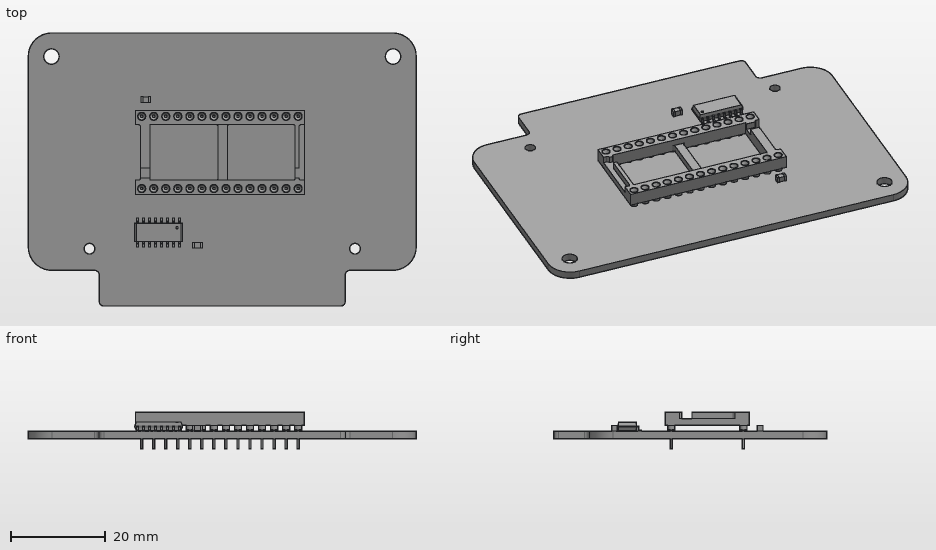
import cadquery as cq


board_length = 81.8
board_width = 57.6
board_thickness = 1.6
board_corner_radius = 5.0
tab_width = 51.9
tab_depth = 7.5
tab_corner_radius = 1.0
main_width = board_width - tab_depth
main_back_y = board_width / 2
main_front_y = main_back_y - main_width
mount_hole_diameter = 3.2
mount_hole_x = 36.0
mount_hole_y = 23.8
tab_hole_diameter = 2.2
tab_hole_x = 28.0
tab_hole_y = -16.7

socket_x = -0.5
socket_y = 3.6
pins_per_row = 14
pin_pitch = 2.5
row_spacing = 15.2
socket_length = 35.6
socket_width = 17.75
socket_bottom = 1.2
socket_top = 4.0
rail_width = 3.0
pocket_width = socket_width - 2 * rail_width
end_recess = 1.1
left_bar = 2.05
right_bar = 2.0
right_bar_upper = 0.8
middle_bar = 2.0
middle_bar_offset = 0.6
step_depth = 1.4
step_z = socket_top - step_depth
notch_width = 2.1
notch_gap = 0.5
frame_fillet = 0.5
window_fillet = 0.3
pin_diameter = 0.51
pin_bottom = -3.8
collar_diameter = 1.55
collar_bottom = 0.25
funnel_diameter = 1.7
rim_depth = 0.1
bore_diameter = 0.51
funnel_depth = 0.8
bore_depth = 2.45

chip_x = -13.4
chip_y = -13.25
chip_length = 10.1
chip_width = 3.9
chip_bottom = 0.1
chip_waist = 1.0
chip_band = 0.25
chip_top = 1.9
end_taper = 0.3
side_taper = 0.1
leads_per_side = 8
lead_pitch = pin_pitch / 2
lead_width = 0.4
lead_thickness = 0.205
lead_span = 6.05
foot_length = 0.8
lead_top = chip_waist + lead_thickness / 2
dot_diameter = 0.51
dot_depth = 0.1
dot_inset_x = 1.15
dot_inset_y = 1.0

capacitor_places = [(-16.1, 14.7), (-5.2, -15.95)]
capacitor_length = 2.05
capacitor_size = 1.2
core_inset = 0.04
end_cap_length = 0.4


def box(x_min, x_max, y_min, y_max, z_min, z_max):
    """Block between the given limits."""
    return cq.Workplane("XY").box(
        x_max - x_min, y_max - y_min, z_max - z_min, centered=False
    ).translate((x_min, y_min, z_min))


def cylinder(diameter, z_min, z_max):
    """Upright cylinder on the Z axis."""
    return cq.Workplane("XY").workplane(offset=z_min).circle(diameter / 2).extrude(z_max - z_min)


pin_places = [
    ((column - (pins_per_row - 1) / 2) * pin_pitch, side * row_spacing / 2)
    for column in range(pins_per_row)
    for side in (-1, 1)
]


def make_board():
    main = box(-board_length / 2, board_length / 2, main_front_y, main_back_y, -board_thickness, 0)
    main = main.edges("|Z").fillet(board_corner_radius)
    tab = box(-tab_width / 2, tab_width / 2, -board_width / 2, main_front_y, -board_thickness, 0)
    tab = tab.edges("|Z and <Y").fillet(tab_corner_radius)
    board = main.union(tab)
    for side in (-1, 1):
        root_corner = (side * tab_width / 2, main_front_y, -board_thickness / 2)
        nearest = cq.selectors.NearestToPointSelector(root_corner)
        board = board.edges("|Z").edges(nearest).fillet(tab_corner_radius)

    mount_holes = [(side * mount_hole_x, mount_hole_y) for side in (-1, 1)]
    tab_holes = [(side * tab_hole_x, tab_hole_y) for side in (-1, 1)]
    socket_holes = [(socket_x + x, socket_y + y) for x, y in pin_places]
    for places, diameter in (
        (mount_holes, mount_hole_diameter),
        (tab_holes, tab_hole_diameter),
        (socket_holes, pin_diameter),
    ):
        holes = cq.Workplane("XY").pushPoints(places).circle(diameter / 2).extrude(-board_thickness)
        board = board.cut(holes)
    return board


def make_socket_frame():
    half_length = socket_length / 2
    half_width = socket_width / 2
    half_pocket = pocket_width / 2
    frame = box(-half_length, half_length, -half_width, half_width, socket_bottom, socket_top)

    left_face = -half_length + end_recess
    recess = box(-half_length, left_face, -half_pocket, half_pocket, socket_bottom, socket_top)
    frame = frame.cut(recess.edges("|Z and >X").fillet(frame_fillet))
    pocket_right = half_length - right_bar
    ledge_start = pocket_right + right_bar_upper
    ledge = box(ledge_start, half_length, -half_pocket, half_pocket, step_z, socket_top)
    frame = frame.cut(ledge.edges("|Z and <X").fillet(frame_fillet))

    pocket_left = left_face + left_bar
    bar_left = middle_bar_offset - middle_bar / 2
    bar_right = middle_bar_offset + middle_bar / 2
    left_window = box(pocket_left, bar_left, -half_pocket, half_pocket, socket_bottom, socket_top)
    right_window = box(bar_right, pocket_right, -half_pocket, half_pocket, socket_bottom, socket_top)
    bar_top = box(
        bar_left - window_fillet, bar_right + window_fillet, -half_pocket, half_pocket, step_z, socket_top
    )
    frame = frame.cut(left_window.edges("|Z and >X").fillet(window_fillet))
    frame = frame.cut(right_window.edges("|Z").fillet(window_fillet)).cut(bar_top)

    notch_front = -half_pocket + notch_gap
    notch_back = notch_front + notch_width
    frame = frame.cut(box(-half_length, pocket_left, notch_front, notch_back, step_z, socket_top))
    return frame.cut(box(pocket_right, half_length, notch_front, notch_back, step_z, socket_top))


def make_pin_outside():
    collar = cylinder(collar_diameter, collar_bottom, socket_bottom)
    return collar.union(cylinder(pin_diameter, pin_bottom, socket_bottom))


def make_pin_entry():
    """Funnel and blind bore that open at the top of each pin."""
    funnel = (
        cq.Workplane("XY", origin=(0, 0, socket_top - rim_depth))
        .circle(collar_diameter / 2)
        .workplane(offset=rim_depth - funnel_depth)
        .circle(bore_diameter / 2)
        .loft()
    )
    rim = cylinder(funnel_diameter, socket_top - rim_depth, socket_top)
    bore = cylinder(bore_diameter, socket_top - bore_depth, socket_top - funnel_depth)
    return funnel.union(rim).union(bore)


def make_socket():
    socket = make_socket_frame()
    pin = make_pin_outside()
    entry = make_pin_entry()
    for x, y in pin_places:
        socket = socket.union(pin.translate((x, y, 0))).cut(entry.translate((x, y, 0)))
    return socket.translate((socket_x, socket_y, 0))


def make_chip_taper(start_z, end_z):
    """Part of the package that tapers from its straight band to the given end height."""
    return (
        cq.Workplane("XY", origin=(0, 0, start_z))
        .rect(chip_length, chip_width)
        .workplane(offset=end_z - start_z)
        .rect(chip_length - 2 * end_taper, chip_width - 2 * side_taper)
        .loft()
    )


def make_lead():
    """Gull-wing lead that leaves the package towards +Y."""
    tip = lead_span / 2
    bend = tip - foot_length
    outline = [
        (0, lead_top),
        (bend + lead_thickness, lead_top),
        (bend + lead_thickness, lead_thickness),
        (tip, lead_thickness),
        (tip, 0),
        (bend, 0),
        (bend, lead_top - lead_thickness),
        (0, lead_top - lead_thickness),
    ]
    return cq.Workplane("YZ").polyline(outline).close().extrude(lead_width / 2, both=True)


def make_chip():
    band_bottom = chip_waist - chip_band / 2
    band_top = chip_waist + chip_band / 2
    chip = box(
        -chip_length / 2, chip_length / 2, -chip_width / 2, chip_width / 2, band_bottom, band_top
    )
    chip = chip.union(make_chip_taper(band_top, chip_top))
    chip = chip.union(make_chip_taper(band_bottom, chip_bottom))
    lead = make_lead()
    for position in range(leads_per_side):
        x = (position - (leads_per_side - 1) / 2) * lead_pitch
        for turn in (0, 180):
            chip = chip.union(lead.rotate((0, 0, 0), (0, 0, 1), turn).translate((x, 0, 0)))
    dot = cylinder(dot_diameter, chip_top - dot_depth, chip_top)
    dot = dot.translate((chip_length / 2 - dot_inset_x, chip_width / 2 - dot_inset_y, 0))
    return chip.cut(dot).translate((chip_x, chip_y, 0))


def make_capacitor(x, y):
    half_length = capacitor_length / 2
    half_size = capacitor_size / 2
    half_core = half_size - core_inset
    capacitor = box(
        -half_length, half_length, -half_core, half_core, core_inset, capacitor_size - core_inset
    )
    for start in (-half_length, half_length - end_cap_length):
        end_cap = box(start, start + end_cap_length, -half_size, half_size, 0, capacitor_size)
        capacitor = capacitor.union(end_cap)
    return capacitor.translate((x, y, 0))


board = make_board()
socket = make_socket()
chip = make_chip()
capacitors = [make_capacitor(x, y) for x, y in capacitor_places]

result = cq.Compound.makeCompound(
    [board.val(), socket.val(), chip.val(), *[capacitor.val() for capacitor in capacitors]]
)